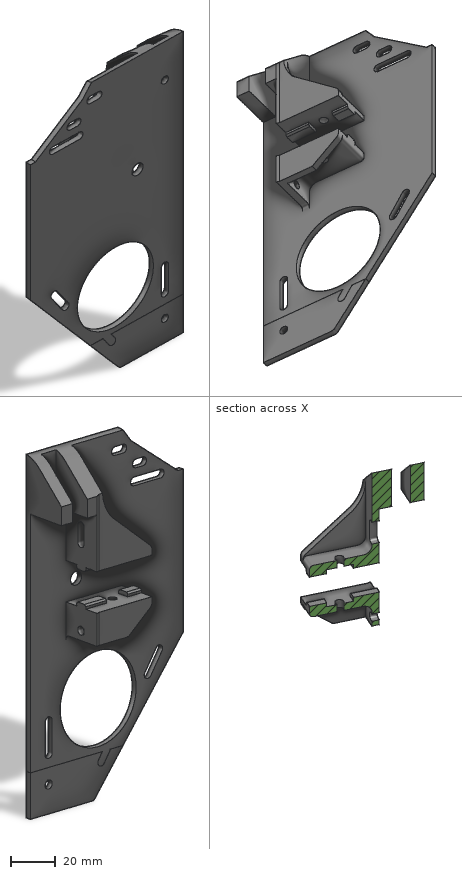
import cadquery as cq
import math


plate_outer_x = 23.6
plate_thickness = 2.8
plate_inner_x = plate_outer_x - plate_thickness
plate_height = 172.5
plate_depth = 91.8
top_edge_depth = 55.0
knee_setback = 60.4
knee_height = 165.5
shoulder_setback = 88.6
shoulder_height = 144.7
slope_top_height = 67.5
bottom_edge_depth = 38.1
bottom_corner_radius = 2.6

nose_height = 153.7
slope_end_x = 14.0
slope_end_height = 167.1
top_arc_middle = (18.5, 170.5)

joint_height = 22.0
tongue_end = (42.6, 17.5)

screw_diameter = 4.1
pivot_diameter = 6.5
pivot_setback = 27.5
bore_diameter = 45.5
bore_center = (40.7, 47.8)
edge_screw_setback = 11.0
upper_screw_height = 150.4
foot_screw_height = 14.0
edge_slot_heights = (28.5, 44.0)
short_slots = [((50.9, 162.8), (55.7, 162.8)), ((63.5, 154.0), (67.6, 154.0))]
long_slot = ((62.3, 145.7), (78.1, 145.7))
slanted_slot = ((70.5, 52.5), (77.3, 62.6))

pivot_height = 108.0
seat_offset = 9.8
seat_height = pivot_height + seat_offset
bracket_back = 21.4
bracket_front = 54.8
bracket_bevel_x = 0.5
bracket_bevel_depth = 1.5
web_front = 25.0
floor_thickness = 4.1
inside_radius = 4.1
floor_edge_radius = 2.0
upper_web_height = plate_height - seat_height
lower_web_height = 15.7
web_foot_radius = 2.0
cover_inner_x = 3.8
cover_front_height = 4.1
cover_front_radius = 3.5
cover_slope_setback = 31.0
cover_slope_height = 23.5
cover_arc_middle = (27.3, 146.5)
cover_top = 155.2

hook_spans = [(0.0, 6.7), (15.5, bracket_back)]

pad_height = 2.0
pad_width = 6.2
pad_center_x = 10.7
pad_bevel = 0.9
pad_spans = [(bracket_back, 33.8), (46.5, bracket_front)]
floor_hole_x = 10.5
floor_hole_setback = 40.0
web_hole_x = 10.9
web_slot_heights = (128.7, 136.6)
web_hole_height = 87.1


def side_sketch(x):
    """Workplane at X = x facing -X, with local coordinates (setback, height)."""
    return cq.Workplane(cq.Plane(origin=(x, 0, 0), xDir=(0, -1, 0), normal=(-1, 0, 0)))


def front_sketch(setback):
    """Workplane at Y = -setback facing -Y, with local coordinates (X, height)."""
    return cq.Workplane("XZ", origin=(0, -setback, 0))


def block(x_span, setback_span, height_span):
    corner = (x_span[0], -setback_span[1], height_span[0])
    return cq.Workplane("XY", origin=corner).box(
        x_span[1] - x_span[0],
        setback_span[1] - setback_span[0],
        height_span[1] - height_span[0],
        centered=False,
    )


def slot_through(sketch, start, end, depth):
    """Round-ended slot of screw width between two end centres."""
    run = end[0] - start[0]
    rise = end[1] - start[1]
    length = math.hypot(run, rise) + screw_diameter
    angle = math.degrees(math.atan2(rise, run))
    middle = (start[0] + run / 2, start[1] + rise / 2)
    return sketch.center(*middle).slot2D(length, screw_diameter, angle).extrude(depth)


def plate_slot(start, end):
    return slot_through(side_sketch(plate_outer_x), start, end, plate_thickness)


def plate_hole(center, diameter):
    return side_sketch(plate_outer_x).center(*center).circle(diameter / 2).extrude(plate_thickness)


def full_plate():
    """Whole sheet outline, before it is parted into plate and foot."""
    sheet = (
        side_sketch(plate_outer_x)
        .polyline([
            (0, 0),
            (0, plate_height),
            (top_edge_depth, plate_height),
            (knee_setback, knee_height),
            (shoulder_setback, shoulder_height),
            (plate_depth, shoulder_height),
            (plate_depth, slope_top_height),
            (bottom_edge_depth, 0),
        ])
        .close()
        .extrude(plate_thickness)
    )
    bottom_corner = cq.NearestToPointSelector((plate_inner_x, -bottom_edge_depth, 0))
    return sheet.edges("|X").edges(bottom_corner).fillet(bottom_corner_radius)


def foot_region():
    """Space below the joint, less the slanted tongue that the plate sends into it."""
    below = block((0, plate_outer_x), (0, plate_depth), (0, joint_height))
    run = slanted_slot[1][0] - slanted_slot[0][0]
    rise = slanted_slot[1][1] - slanted_slot[0][1]
    tongue_rise = joint_height + screw_diameter - tongue_end[1]
    tongue_start = (tongue_end[0] + tongue_rise * run / rise, tongue_end[1] + tongue_rise)
    return below.cut(plate_slot(tongue_end, tongue_start))


def side_envelope():
    """Outline seen along Y: sloped nose, rounded top and straight outer face."""
    return (
        front_sketch(0)
        .moveTo(0, 0)
        .lineTo(0, nose_height)
        .lineTo(slope_end_x, slope_end_height)
        .threePointArc(top_arc_middle, (plate_outer_x, plate_height))
        .lineTo(plate_outer_x, 0)
        .close()
        .extrude(plate_depth)
    )


def bracket_footprint():
    """Plan shape of a bracket, bevelled along its rear edge."""
    return (
        cq.Workplane("XY")
        .polyline([
            (0, -bracket_back),
            (bracket_bevel_x, -bracket_back - bracket_bevel_depth),
            (bracket_bevel_x, -bracket_front),
            (plate_inner_x, -bracket_front),
            (plate_inner_x, -bracket_back),
        ])
        .close()
        .extrude(plate_height)
    )


def bracket_channel(web_height):
    """Floor and rear web, joined by an inside radius."""
    floor_top = seat_height + floor_thickness
    web_top = seat_height + web_height
    return (
        side_sketch(plate_inner_x)
        .moveTo(bracket_back, seat_height)
        .lineTo(bracket_front, seat_height)
        .lineTo(bracket_front, floor_top - floor_edge_radius)
        .radiusArc((bracket_front - floor_edge_radius, floor_top), -floor_edge_radius)
        .lineTo(web_front + inside_radius, floor_top)
        .radiusArc((web_front, floor_top + inside_radius), inside_radius)
        .lineTo(web_front, web_top)
        .lineTo(bracket_back, web_top)
        .close()
        .extrude(plate_inner_x)
    )


def round_cover_front(cover):
    corner = (0, -bracket_front, seat_height + cover_front_height)
    return cover.edges("|X").edges(cq.NearestToPointSelector(corner)).fillet(cover_front_radius)


def cover_start():
    """Common start of both cover outlines: the bottom and front edges."""
    return (
        side_sketch(cover_inner_x)
        .moveTo(bracket_back, seat_height)
        .lineTo(bracket_front, seat_height)
        .lineTo(bracket_front, seat_height + cover_front_height)
    )


def upper_cover():
    cover = (
        cover_start()
        .lineTo(cover_slope_setback, seat_height + cover_slope_height)
        .threePointArc(cover_arc_middle, (web_front, cover_top))
        .lineTo(bracket_back, cover_top)
        .close()
        .extrude(cover_inner_x)
    )
    return round_cover_front(cover)


def lower_cover():
    """Cover in the unmirrored position: same slope as the upper one, ending level with its web."""
    slope_run = bracket_front - cover_slope_setback
    slope_rise = cover_slope_height - cover_front_height
    end_setback = bracket_front - (lower_web_height - cover_front_height) * slope_run / slope_rise
    end_height = seat_height + lower_web_height
    cover = (
        cover_start()
        .lineTo(end_setback, end_height)
        .lineTo(bracket_back, end_height)
        .close()
        .extrude(cover_inner_x)
    )
    return round_cover_front(cover)


def pad(span):
    """Raised strip on the seat face, bevelled along its two long edges."""
    pad_face = seat_height - pad_height
    left = pad_center_x - pad_width / 2
    right = pad_center_x + pad_width / 2
    strip = block((left, right), span, (pad_face, seat_height))
    return strip.faces("<Z").edges("|Y").chamfer(pad_bevel)


def web_foot_fillet():
    """Fillet between the free end of the lower web and the plate, before mirroring."""
    web_end = seat_height + lower_web_height
    return (
        front_sketch(bracket_back)
        .moveTo(plate_inner_x, web_end)
        .lineTo(plate_inner_x - web_foot_radius, web_end)
        .radiusArc((plate_inner_x, web_end + web_foot_radius), -web_foot_radius)
        .close()
        .extrude(web_front - bracket_back)
    )


def bracket(web_height, cover):
    """Channel, cover and pads, with the screw hole through the floor."""
    body = bracket_channel(web_height).union(cover).intersect(bracket_footprint())
    for span in pad_spans:
        body = body.union(pad(span))
    floor_hole = (
        cq.Workplane("XY", origin=(floor_hole_x, -floor_hole_setback, seat_height))
        .circle(screw_diameter / 2)
        .extrude(floor_thickness)
    )
    return body.cut(floor_hole)


def upper_bracket():
    web_slot = slot_through(
        front_sketch(bracket_back),
        (web_hole_x, web_slot_heights[0]),
        (web_hole_x, web_slot_heights[1]),
        web_front - bracket_back,
    )
    return bracket(upper_web_height, upper_cover()).cut(web_slot)


def lower_bracket():
    body = bracket(lower_web_height, lower_cover()).union(web_foot_fillet())
    mirrored = body.mirror("XY", (0, 0, pivot_height))
    web_hole = (
        front_sketch(bracket_back)
        .center(web_hole_x, web_hole_height)
        .circle(screw_diameter / 2)
        .extrude(web_front - bracket_back)
    )
    return mirrored.cut(web_hole)


def make_mount():
    """Plate with its hooks and brackets."""
    body = full_plate().cut(foot_region())
    for span in hook_spans:
        body = body.union(block((0, plate_inner_x), span, (shoulder_height, plate_height)))
    body = body.union(upper_bracket()).union(lower_bracket())
    body = body.intersect(side_envelope())
    for start, end in [*short_slots, long_slot, slanted_slot]:
        body = body.cut(plate_slot(start, end))
    edge_slot_ends = [(edge_screw_setback, height) for height in edge_slot_heights]
    body = body.cut(plate_slot(*edge_slot_ends))
    body = body.cut(plate_hole((edge_screw_setback, upper_screw_height), screw_diameter))
    body = body.cut(plate_hole((pivot_setback, pivot_height), pivot_diameter))
    return body.cut(plate_hole(bore_center, bore_diameter))


def make_foot():
    """Separate bottom corner of the sheet, notched for the tongue."""
    body = full_plate().intersect(foot_region())
    return body.cut(plate_hole((edge_screw_setback, foot_screw_height), screw_diameter))


mount = make_mount()
foot = make_foot()

result = cq.Compound.makeCompound([mount.val(), foot.val()])